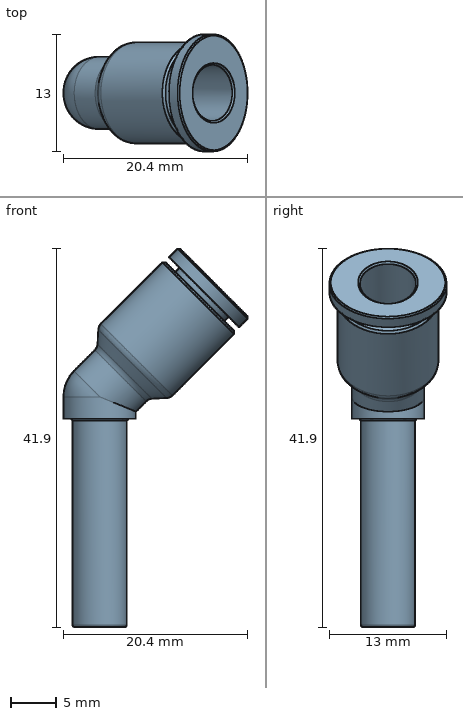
import cadquery as cq

stem_radius = 3.0
stem_edge_fillet = 0.3
collar_base = 23.05

elbow_radius = 4.02
elbow_height = 25.5
branch_tilt = 45.0

cone_start = 3.65
cone_end = 5.4
body_end = 15.65
flange_start = 16.35
flange_end = 17.85

body_radius = 5.6
cone_fillet = 0.95
body_edge_chamfer = 0.25
neck_radius = 3.85

flange_half_width = 5.5
flange_half_length = 6.5
flange_edge_chamfer = 0.15

bore_radius = 3.1
bore_mouth_chamfer = 0.2
bore_bottom = cone_end


def revolve_about_z(profile):
    """Solid of revolution from a closed list of (radius, height) points."""
    return cq.Workplane("XZ").polyline(profile).close().revolve(360, (0, 0, 0), (0, 1, 0))


def make_stem():
    stem = cq.Workplane("XY").circle(stem_radius).extrude(elbow_height)
    return stem.faces("<Z").fillet(stem_edge_fillet)


def make_collar():
    collar = cq.Workplane("XY").workplane(offset=collar_base)
    return collar.circle(elbow_radius).extrude(elbow_height - collar_base)


def make_body():
    """Revolved branch body about Z, with the elbow centre at the origin."""
    profile = [
        (0, 0),
        (elbow_radius, 0),
        (elbow_radius, cone_start),
        (body_radius, cone_end),
        (body_radius, body_end - body_edge_chamfer),
        (body_radius - body_edge_chamfer, body_end),
        (neck_radius, body_end),
        (neck_radius, flange_start),
        (0, flange_start),
    ]
    body = revolve_about_z(profile)
    for height in (cone_start, cone_end):
        body = body.edges(cq.selectors.NearestToPointSelector((0, 0, height))).fillet(cone_fillet)
    return body


def make_flange():
    flange = cq.Workplane("XY").workplane(offset=flange_start)
    flange = flange.ellipse(flange_half_width, flange_half_length).extrude(flange_end - flange_start)
    return flange.faces(">Z").chamfer(flange_edge_chamfer)


def make_bore():
    profile = [
        (0, bore_bottom),
        (bore_radius, bore_bottom),
        (bore_radius, flange_end - bore_mouth_chamfer),
        (bore_radius + bore_mouth_chamfer, flange_end),
        (0, flange_end),
    ]
    return revolve_about_z(profile)


def make_branch():
    ball = cq.Workplane("XY").sphere(elbow_radius)
    branch = ball.union(make_body()).union(make_flange()).cut(make_bore())
    return branch.rotate((0, 0, 0), (0, 1, 0), branch_tilt).translate((0, 0, elbow_height))


result = make_stem().union(make_collar()).union(make_branch())